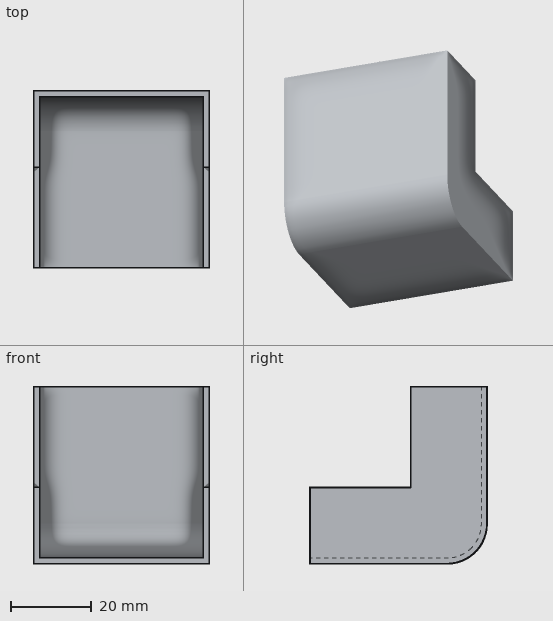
import cadquery as cq

width = 43.6
leg_length = 44.0
channel_depth = 19.0

wall = 1.5
outer_radius = 10.0
inner_radius = outer_radius - wall
inner_width = width - 2 * wall
inner_length = leg_length - wall


def elbow_block():
    """L-shaped block with a rounded outer corner; its legs end at -Y and +Z."""
    notch_y = leg_length - channel_depth
    profile = (
        cq.Workplane("YZ")
        .moveTo(0, 0)
        .lineTo(leg_length, 0)
        .lineTo(leg_length, leg_length)
        .lineTo(notch_y, leg_length)
        .lineTo(notch_y, channel_depth)
        .lineTo(0, channel_depth)
        .close()
    )
    block = profile.extrude(width / 2, both=True)
    return block.edges("|X and >Y and <Z").fillet(outer_radius)


def channel_cavity():
    """Space above the floor and in front of the back wall, between the side walls."""
    cavity = cq.Workplane("XY").box(
        inner_width, inner_length, inner_length, centered=(True, False, False)
    )
    cavity = cavity.edges("|X and >Y and <Z").fillet(inner_radius)
    return cavity.translate((0, 0, wall))


result = elbow_block().cut(channel_cavity())